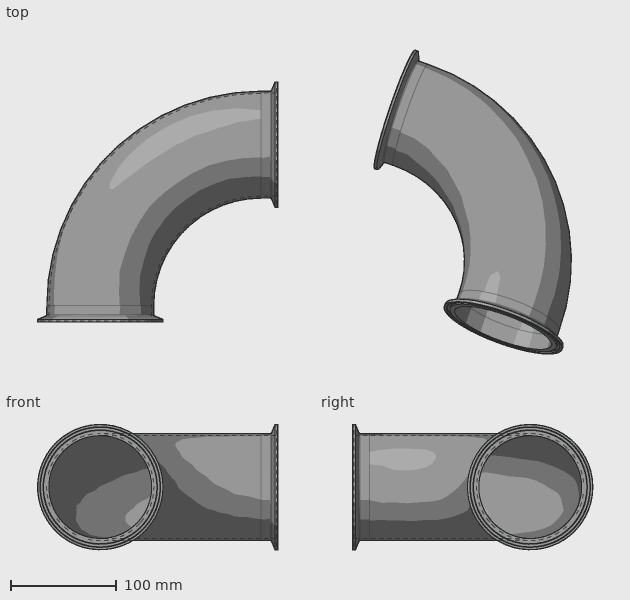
import cadquery as cq

pipe_outer_diameter = 101.5
bore_diameter = 97.5
bend_radius = 152.3
bend_angle = 90

ferrule_length = 16.0
flange_diameter = 118.9
rim_thickness = 2.7
flange_root_depth = 6.4
root_fillet_radius = 1.1

groove_inner_radius = 53.7
groove_outer_radius = 57.2
groove_depth = 1.4
groove_wall_run = 0.5

pipe_outer_radius = pipe_outer_diameter / 2
bore_radius = bore_diameter / 2
flange_radius = flange_diameter / 2


def make_bend():
    """Hollow elbow from the XZ plane (axis at X = 0), turning toward +X around a vertical axis."""
    return (
        cq.Workplane("XZ")
        .circle(pipe_outer_radius)
        .circle(bore_radius)
        .revolve(bend_angle, (bend_radius, 0, 0), (bend_radius, -1, 0))
    )


def make_ferrule():
    """Ferrule about the Y axis: welded end at Y = 0, grooved clamp face toward -Y."""
    face = -ferrule_length
    profile = [
        (bore_radius, 0),
        (pipe_outer_radius, 0),
        (pipe_outer_radius, face + flange_root_depth),
        (flange_radius, face + rim_thickness),
        (flange_radius, face),
        (groove_outer_radius, face),
        (groove_outer_radius - groove_wall_run, face + groove_depth),
        (groove_inner_radius + groove_wall_run, face + groove_depth),
        (groove_inner_radius, face),
        (bore_radius, face),
    ]
    ferrule = cq.Workplane("XY").polyline(profile).close().revolve(360, (0, 0, 0), (0, 1, 0))
    flange_root = cq.selectors.NearestToPointSelector((0, face + flange_root_depth, 0))
    return ferrule.edges(flange_root).fillet(root_fillet_radius)


inlet_ferrule = make_ferrule()

outlet_ferrule = (
    make_ferrule()
    .rotate((0, 0, 0), (0, 0, 1), bend_angle)
    .translate((bend_radius, bend_radius, 0))
)

result = make_bend().union(inlet_ferrule).union(outlet_ferrule)